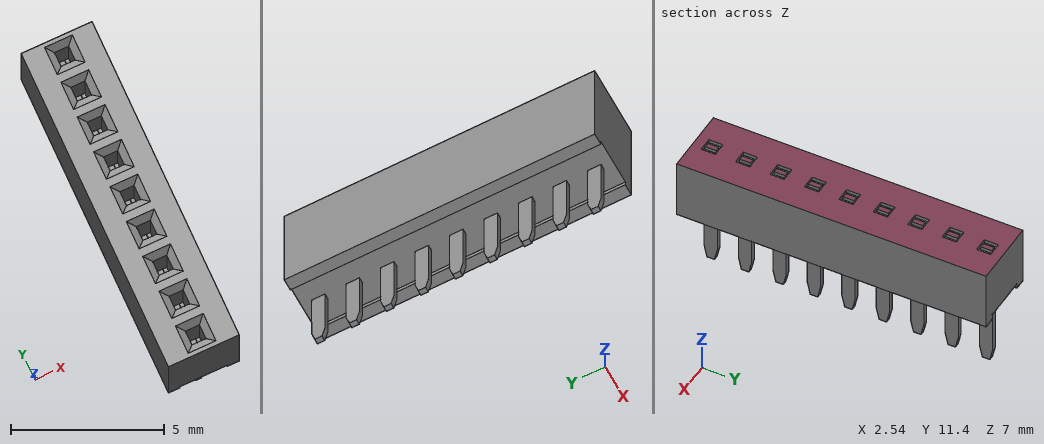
import cadquery as cq

contact_count = 9
length = 11.43
pitch = length / contact_count
width = 2.54
total_height = 7.0
housing_height = 4.39

foot_width = 0.42
foot_height = 0.2

mouth_size = 1.0
throat_size = 0.5
funnel_depth = (mouth_size - throat_size) / 2
socket_depth = 2.29

pin_thickness = 0.2
pin_width = 0.49
pin_tip_width = 0.27
pin_taper_length = 0.48

tongue_width = 0.42
tongue_rise = 0.23

housing_bottom = total_height - housing_height
socket_floor = total_height - socket_depth
tongue_top = socket_floor + tongue_rise

contact_positions = [(index - (contact_count - 1) / 2) * pitch for index in range(contact_count)]


def make_housing():
    """Block with a shallow channel along its underside, leaving two feet."""
    block = cq.Workplane("XY", origin=(0, 0, housing_bottom)).box(
        width, length, housing_height, centered=(True, True, False)
    )
    channel = cq.Workplane("XY", origin=(0, 0, housing_bottom)).box(
        width - 2 * foot_width, length, foot_height, centered=(True, True, False)
    )
    return block.cut(channel)


def make_socket(y):
    """Square cavity with a funnel-shaped mouth at the top face."""
    funnel = (
        cq.Workplane("XY", origin=(0, y, total_height - funnel_depth))
        .rect(throat_size, throat_size)
        .workplane(offset=funnel_depth)
        .rect(mouth_size, mouth_size)
        .loft(ruled=True)
    )
    throat = cq.Workplane("XY", origin=(0, y, socket_floor)).box(
        throat_size, throat_size, socket_depth - funnel_depth, centered=(True, True, False)
    )
    return funnel.union(throat)


def make_pin(y):
    """Flat pin with a tapered lower end and a narrow tongue above the socket floor."""
    half_width = pin_width / 2
    half_tip = pin_tip_width / 2
    half_tongue = tongue_width / 2
    outline = [
        (-half_tip, 0),
        (half_tip, 0),
        (half_width, pin_taper_length),
        (half_width, socket_floor),
        (half_tongue, socket_floor),
        (half_tongue, tongue_top),
        (-half_tongue, tongue_top),
        (-half_tongue, socket_floor),
        (-half_width, socket_floor),
        (-half_width, pin_taper_length),
    ]
    return (
        cq.Workplane("YZ", origin=(0, y, 0))
        .polyline(outline)
        .close()
        .extrude(pin_thickness / 2, both=True)
    )


result = make_housing()
for contact_y in contact_positions:
    result = result.cut(make_socket(contact_y))
for contact_y in contact_positions:
    result = result.union(make_pin(contact_y))